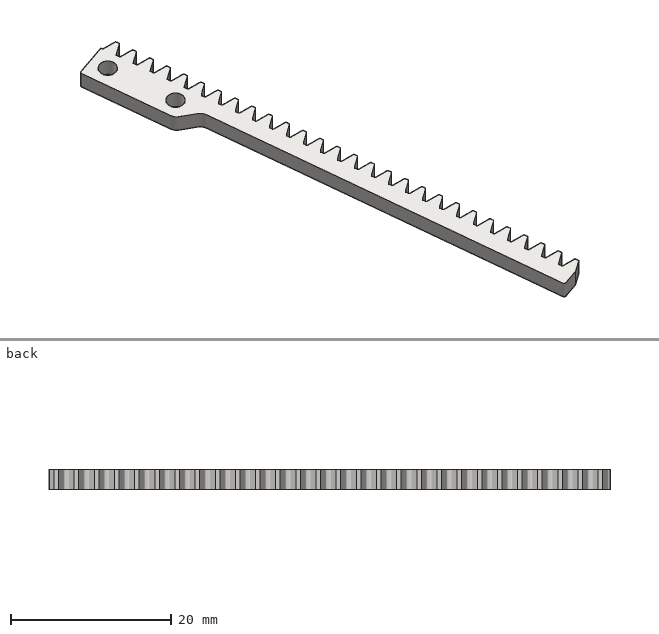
import cadquery as cq
import math

length = 70.0
height = 6.8
thickness = 2.5

tooth_count = 28
last_tooth_x = 69.1
tooth_depth = 1.9
tip_width = 0.55
flank_angle = math.radians(20)
root_fillet = 0.2
pitch = last_tooth_x / (tooth_count - 0.5)
root_y = height - tooth_depth

bar_bottom = 2.5
tab_flat_length = 13.4
ramp_radius = 1.5
ramp_angle = math.radians(45)
corner_fillet = 0.3

hole_diameter = 2.4
hole_spacing = 10.0
first_hole_x = 2.5
hole_y = 2.5


def make_blank():
    """Bar and tab at full height, before the teeth are cut."""
    arc_run = ramp_radius * math.sin(ramp_angle)
    arc_rise = ramp_radius * (1 - math.cos(ramp_angle))
    mid_run = ramp_radius * math.sin(ramp_angle / 2)
    mid_rise = ramp_radius * (1 - math.cos(ramp_angle / 2))
    slope_run = (bar_bottom - 2 * arc_rise) / math.tan(ramp_angle)
    ramp_end = tab_flat_length + 2 * arc_run + slope_run
    blank = (
        cq.Workplane("XY")
        .lineTo(tab_flat_length, 0)
        .threePointArc(
            (tab_flat_length + mid_run, mid_rise),
            (tab_flat_length + arc_run, arc_rise),
        )
        .lineTo(ramp_end - arc_run, bar_bottom - arc_rise)
        .threePointArc(
            (ramp_end - mid_run, bar_bottom - mid_rise),
            (ramp_end, bar_bottom),
        )
        .lineTo(length, bar_bottom)
        .lineTo(length, height)
        .lineTo(0, height)
        .close()
        .extrude(thickness)
    )
    blank = blank.edges("|Z and <X").edges("<Y").fillet(corner_fillet)
    return blank.edges("|Z and >X").edges("<Y").fillet(corner_fillet)


def make_tooth_gap():
    """Space between two teeth, centred on X = 0, with rounded root corners."""
    half_top = (pitch - tip_width) / 2
    half_root = half_top - tooth_depth * math.tan(flank_angle)
    return (
        cq.Workplane("XY")
        .moveTo(-half_root, root_y)
        .lineTo(half_root, root_y)
        .lineTo(half_top, height)
        .lineTo(-half_top, height)
        .close()
        .extrude(thickness)
        .edges("|Z")
        .edges("<Y")
        .fillet(root_fillet)
    )


def make_holes():
    return (
        cq.Workplane("XY")
        .pushPoints([(first_hole_x, hole_y), (first_hole_x + hole_spacing, hole_y)])
        .circle(hole_diameter / 2)
        .extrude(thickness)
    )


result = make_blank().cut(make_holes())

tooth_gap = make_tooth_gap()
for index in range(tooth_count + 1):
    result = result.cut(tooth_gap.translate((index * pitch, 0, 0)))